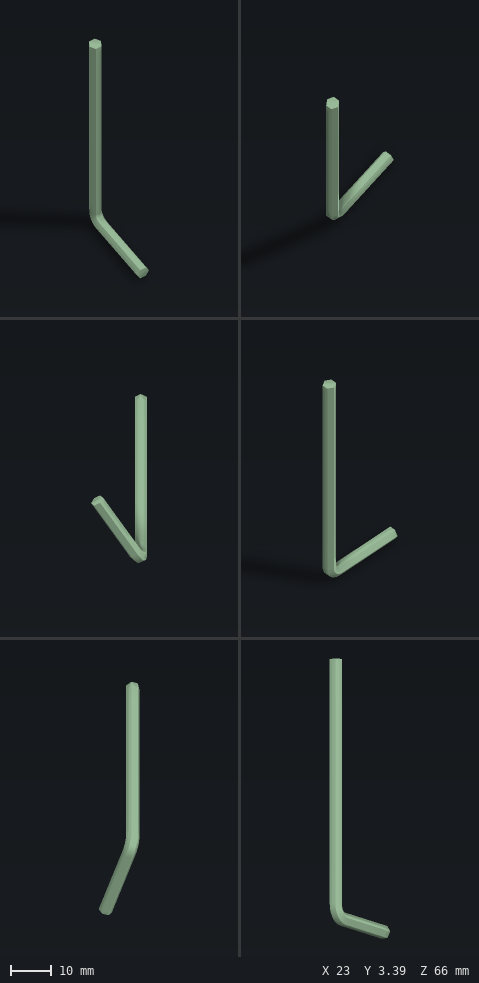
import cadquery as cq
import math

long_arm_height = 66.0
short_arm_length = 23.0

across_flats = 3.0
across_corners = 3.39
flank_slope = 30.0
half_flats = across_flats / 2
half_corners = across_corners / 2
half_side = half_corners - half_flats * math.tan(math.radians(flank_slope))

inner_bend_radius = 1.5
bend_radius = inner_bend_radius + half_flats
bend_center = half_flats + bend_radius
bend_middle = bend_center - bend_radius * math.cos(math.radians(45))


def make_path():
    """Centre line in the XZ plane, from the top of the long arm to the short arm's end."""
    return (
        cq.Workplane("XZ")
        .moveTo(half_flats, long_arm_height)
        .lineTo(half_flats, bend_center)
        .threePointArc((bend_middle, bend_middle), (bend_center, half_flats))
        .lineTo(short_arm_length, half_flats)
    )


def make_profile():
    """Six-sided section at the top of the long arm, with flats facing X and corners along Y."""
    corners = [
        (0, half_corners),
        (-half_flats, half_side),
        (-half_flats, -half_side),
        (0, -half_corners),
        (half_flats, -half_side),
        (half_flats, half_side),
    ]
    section_center = (half_flats, 0, long_arm_height)
    return cq.Workplane("XY", origin=section_center).polyline(corners).close()


result = make_profile().sweep(make_path())